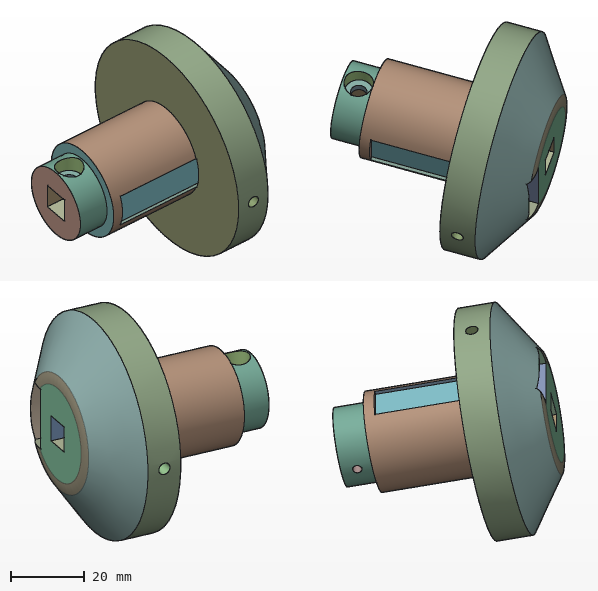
import cadquery as cq
import math

flange_radius = 32.14
shaft_radius = 14.0
hub_radius = 11.0
crown_radius = 17.2
crown_flat_radius = 13.9
hub_length = 9.1
shaft_length = 28.9
flange_thickness = 10.08
cone_height = 10.4
crown_height = 0.6

shaft_start = hub_length
flange_front = shaft_start + shaft_length
flange_back = flange_front + flange_thickness
cone_end = flange_back + cone_height
overall_length = cone_end + crown_height

drive_square = 7.6

screw_y = hub_length / 2
screw_head_diameter = 8.0
screw_clearance_diameter = 4.5
screw_thread_diameter = 2.5
screw_seat_z = 6.0

pin_diameter = 3.4
pin_y = flange_front + flange_thickness / 2

slot_width = 10.2
slot_floor_x = 12.0
slot_clearance = 0.25
slot_outer_radius = shaft_radius + slot_clearance
lip_thickness = 3.0
slot_start = shaft_start + lip_thickness

recess_width = 18.2
recess_inner_x = 10.0
recess_corner_x = 15.9
recess_bow = 0.9


def cylinder_y(radius, y_start, y_end):
    """Cylinder about the Y axis between two Y positions."""
    return cq.Workplane("XZ", origin=(0, y_start, 0)).circle(radius).extrude(y_start - y_end)


def cylinder_z(diameter, z_start, z_end):
    """Cylinder along Z on the screw axis between two heights."""
    base = cq.Workplane("XY", origin=(0, screw_y, z_start))
    return base.circle(diameter / 2).extrude(z_end - z_start)


def make_body():
    """Hub, shaft, flange, cone and round-edged crown as one revolved profile."""
    edge_width = crown_radius - crown_flat_radius
    edge_radius = (edge_width**2 + crown_height**2) / (2 * crown_height)
    half_angle = math.asin(edge_width / edge_radius) / 2
    crown_arc_middle = (
        crown_flat_radius + edge_radius * math.sin(half_angle),
        overall_length - edge_radius * (1 - math.cos(half_angle)),
    )
    return (
        cq.Workplane("XY")
        .moveTo(0, 0)
        .lineTo(hub_radius, 0)
        .lineTo(hub_radius, shaft_start)
        .lineTo(shaft_radius, shaft_start)
        .lineTo(shaft_radius, flange_front)
        .lineTo(flange_radius, flange_front)
        .lineTo(flange_radius, flange_back)
        .lineTo(crown_radius, cone_end)
        .threePointArc(crown_arc_middle, (crown_flat_radius, overall_length))
        .lineTo(0, overall_length)
        .close()
        .revolve(360, (0, 0, 0), (0, 1, 0))
    )


def make_drive_hole():
    """Square hole running the full length."""
    return cq.Workplane("XZ").rect(drive_square, drive_square).extrude(-overall_length)


def make_screw_hole():
    """Head counterbore and clearance above the drive hole, thread hole below it."""
    head = cylinder_z(screw_head_diameter, screw_seat_z, hub_radius)
    clearance = cylinder_z(screw_clearance_diameter, 0, screw_seat_z)
    thread = cylinder_z(screw_thread_diameter, -hub_radius, 0)
    return head.union(clearance).union(thread)


def make_pin_hole():
    """Round hole along X through the whole flange."""
    start = cq.Workplane("YZ", origin=(-flange_radius, pin_y, 0))
    return start.circle(pin_diameter / 2).extrude(2 * flange_radius)


def make_slot():
    """Slot with a flat floor and a round outer side, from the lip to the back of the head."""
    slot_depth = slot_outer_radius - slot_floor_x
    slot_length = overall_length - slot_start
    block = cq.Workplane("XY").box(slot_depth, slot_length, slot_width, centered=(False, False, True))
    block = block.translate((slot_floor_x, slot_start, 0))
    return block.intersect(cylinder_y(slot_outer_radius, slot_start, overall_length))


def make_recess():
    """Recess open to the back of the head and as deep as the cone."""
    half_width = recess_width / 2
    return (
        cq.Workplane("XZ", origin=(0, flange_back, 0))
        .moveTo(recess_inner_x, -half_width)
        .lineTo(recess_corner_x, -half_width)
        .threePointArc((recess_corner_x + recess_bow, 0), (recess_corner_x, half_width))
        .lineTo(recess_inner_x, half_width)
        .close()
        .extrude(flange_back - overall_length)
    )


result = (
    make_body()
    .cut(make_drive_hole())
    .cut(make_screw_hole())
    .cut(make_pin_hole())
    .cut(make_slot())
    .cut(make_recess())
)